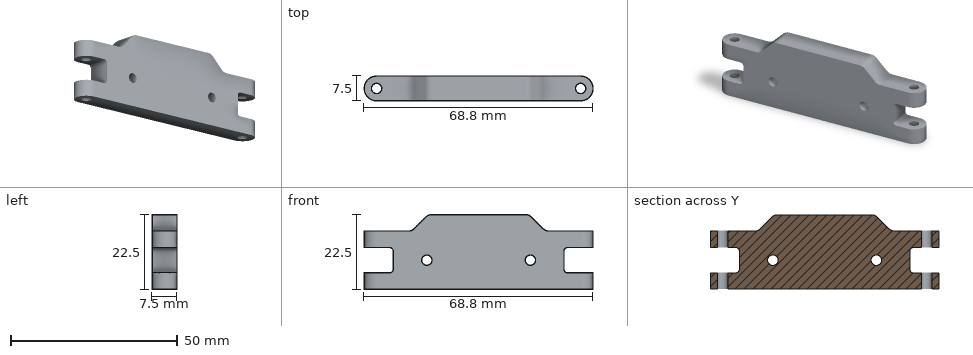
import cadquery as cq

length = 68.8
thickness = 7.5
height = 22.5

ear_thickness = 5.0
slot_height = thickness
slot_depth = 8.75
slot_corner_radius = 1.0
ear_radius = thickness / 2
shoulder_height = 2 * ear_thickness + slot_height
pin_hole_diameter = 3.0
pin_x = length / 2 - ear_radius

crown_half_width = 15.15
crown_base_half_width = crown_half_width + height - shoulder_height
crown_fillet_radius = 2.5

cross_hole_diameter = 3.0
cross_hole_spacing = 31.1
cross_hole_z = shoulder_height / 2


def make_body():
    """Plate with rounded ends and a raised centre."""
    bar = cq.Workplane("XY").slot2D(length, thickness).extrude(shoulder_height)
    crown = (
        cq.Workplane("XZ")
        .polyline([
            (-crown_base_half_width, 0),
            (-crown_base_half_width, shoulder_height),
            (-crown_half_width, height),
            (crown_half_width, height),
            (crown_base_half_width, shoulder_height),
            (crown_base_half_width, 0),
        ])
        .close()
        .extrude(thickness / 2, both=True)
    )
    body = bar.union(crown)
    for x, z in ((crown_half_width, height), (crown_base_half_width, shoulder_height)):
        for side in (-1, 1):
            edge = cq.selectors.NearestToPointSelector((side * x, 0, z))
            body = body.edges("|Y").edges(edge).fillet(crown_fillet_radius)
    return body


def make_end_slot(side):
    """Open slot between the two ears of one end, with rounded inner corners."""
    return (
        cq.Workplane("XY")
        .box(2 * slot_depth, thickness, slot_height)
        .edges("|Y")
        .fillet(slot_corner_radius)
        .translate((side * length / 2, 0, shoulder_height / 2))
    )


def make_pin_holes():
    """Vertical hinge pin holes through the ears."""
    return (
        cq.Workplane("XY")
        .pushPoints([(-pin_x, 0), (pin_x, 0)])
        .circle(pin_hole_diameter / 2)
        .extrude(shoulder_height)
    )


def make_cross_holes():
    """Horizontal holes through the plate."""
    return (
        cq.Workplane("XZ")
        .pushPoints([(side * cross_hole_spacing / 2, cross_hole_z) for side in (-1, 1)])
        .circle(cross_hole_diameter / 2)
        .extrude(thickness / 2, both=True)
    )


result = make_body()
for end in (-1, 1):
    result = result.cut(make_end_slot(end))
result = result.cut(make_pin_holes()).cut(make_cross_holes())